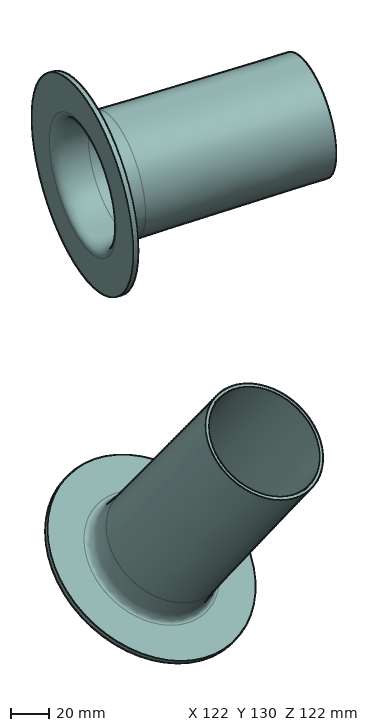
import cadquery as cq

flange_diameter = 122.0
flange_thickness = 3.0
mouth_diameter = 79.6
overall_length = 130.0
flare_end = 19.3
tube_tip_diameter = 69.0
tube_root_diameter = 70.6
wall = 2.0

flange_radius = flange_diameter / 2
mouth_radius = mouth_diameter / 2
tip_outer = tube_tip_diameter / 2
root_outer = tube_root_diameter / 2
tip_inner = tip_outer - wall
root_inner = root_outer - wall
taper = (root_outer - tip_outer) / (overall_length - flare_end)


def flare_corner(root_radius, flange_face):
    """Where the extended cone line crosses a flange face: the flare's middle control point."""
    return (root_radius + taper * (flare_end - flange_face), flange_face)


section = (
    cq.Workplane("XY")
    .moveTo(mouth_radius, 0)
    .lineTo(flange_radius, 0)
    .lineTo(flange_radius, flange_thickness)
    .lineTo(mouth_radius, flange_thickness)
    .bezier(
        [flare_corner(root_outer, flange_thickness), (root_outer, flare_end)],
        includeCurrent=True,
    )
    .lineTo(tip_outer, overall_length)
    .lineTo(tip_inner, overall_length)
    .lineTo(root_inner, flare_end)
    .bezier(
        [flare_corner(root_inner, 0), (mouth_radius, 0)],
        includeCurrent=True,
    )
    .close()
)

result = section.revolve(360, (0, 0, 0), (0, 1, 0))